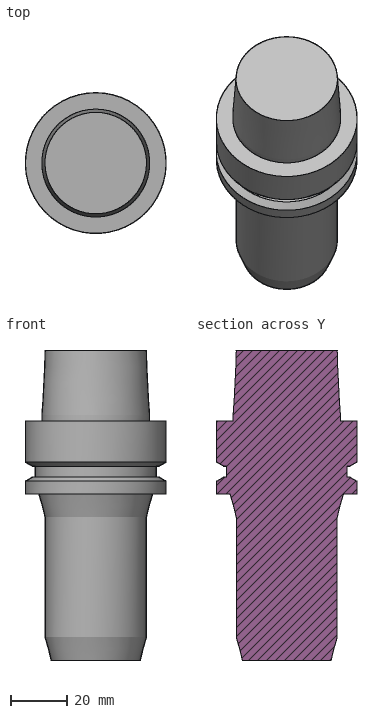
import cadquery as cq
import math


shank_length = 25.0
shank_top_diameter = 36.0
shank_base_diameter = 38.3
shank_base_height = 2.0

flange_diameter = 50.0
flange_thickness = 26.0
groove_diameter = 43.0
groove_distance_from_face = 18.0
groove_width = 3.75
groove_mouth_width = 6.75
groove_wall_angle = 60.0

overall_length = 110.0
body_diameter = 36.0
neck_cone_length = 8.2
nose_cone_length = 8.2
cone_half_angle = 15.0


def rise(axial_length, angle):
    """Radial change of a conical stretch inclined by angle from the Z axis."""
    return axial_length * math.tan(math.radians(angle))


shank_top_radius = shank_top_diameter / 2
shank_base_radius = shank_base_diameter / 2
flange_radius = flange_diameter / 2
groove_radius = groove_diameter / 2
body_radius = body_diameter / 2

groove_wall_height = (groove_mouth_width - groove_width) / 2
groove_lip_radius = flange_radius - rise(groove_wall_height, groove_wall_angle)
neck_radius = body_radius + rise(neck_cone_length, cone_half_angle)
nose_radius = body_radius - rise(nose_cone_length, cone_half_angle)

groove_z = -groove_distance_from_face
flange_bottom_z = -flange_thickness
bottom_z = shank_length - overall_length


def shank_profile():
    """Tapered shank on a short cylindrical seat, from the top down."""
    return [
        (0, shank_length),
        (shank_top_radius, shank_length),
        (shank_base_radius, shank_base_height),
        (shank_base_radius, 0),
    ]


def flange_profile():
    """Flange rim with a flat-bottomed groove and a flared groove mouth."""
    return [
        (flange_radius, 0),
        (flange_radius, groove_z + groove_mouth_width / 2),
        (groove_lip_radius, groove_z + groove_width / 2),
        (groove_radius, groove_z + groove_width / 2),
        (groove_radius, groove_z - groove_width / 2),
        (groove_lip_radius, groove_z - groove_width / 2),
        (flange_radius, groove_z - groove_mouth_width / 2),
        (flange_radius, flange_bottom_z),
    ]


def body_profile():
    """Neck cone, cylindrical body and nose cone, down to the bottom face."""
    return [
        (neck_radius, flange_bottom_z),
        (body_radius, flange_bottom_z - neck_cone_length),
        (body_radius, bottom_z + nose_cone_length),
        (nose_radius, bottom_z),
        (0, bottom_z),
    ]


profile = shank_profile() + flange_profile() + body_profile()
result = cq.Workplane("YZ").polyline(profile).close().revolve(360, (0, 0), (0, 1))